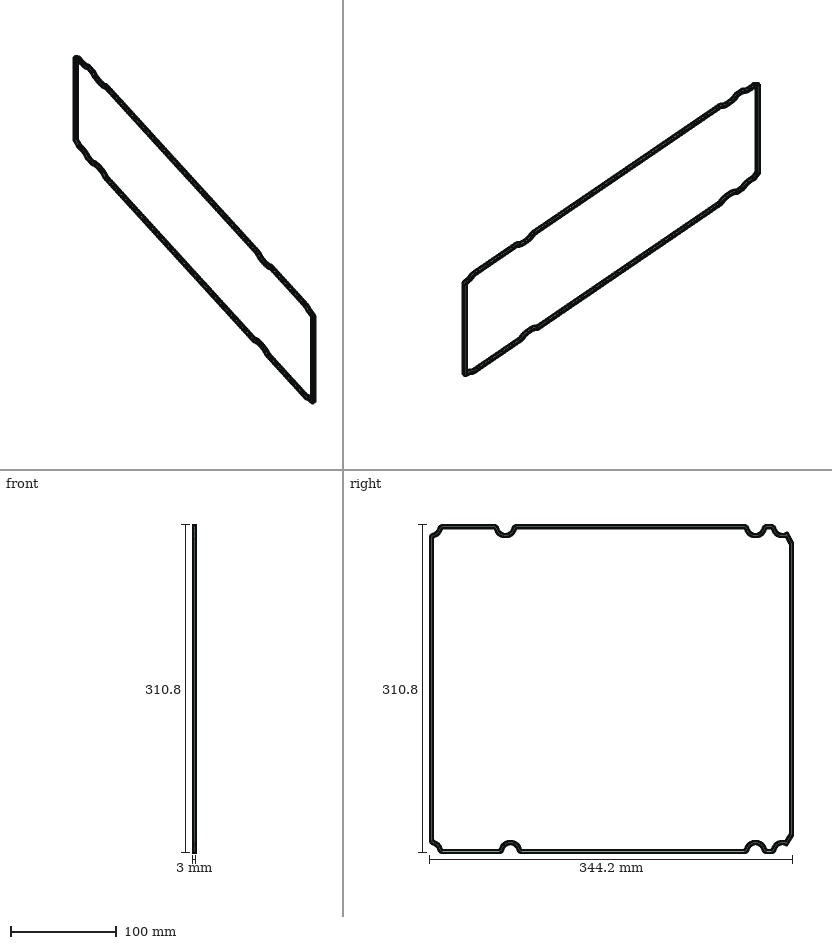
import cadquery as cq
import math

THICKNESS = 3.0
WIDTH = 344.16
HEIGHT = 310.82
HALF_WIDTH = WIDTH / 2
HALF_HEIGHT = HEIGHT / 2
TOP = 1
BOTTOM = -1

STRIP_WIDTH = 3.0

DETOUR_RADIUS = 7.0
DETOUR_DEPTH = 8.5
DETOUR_Z = HALF_HEIGHT - DETOUR_DEPTH + DETOUR_RADIUS

BEND_RADIUS = 4.5

LEFT_CORNER_Y = 162.15
LEFT_Y = 136.55
TOP_RIGHT_Y = -100.5
BOTTOM_RIGHT_Y = -95.75
RIGHT_CORNER_Y = -170.7

SLANT_DROP = 17.2
TOP_SLANT_ANGLE = 28.0
BOTTOM_SLANT_ANGLE = 31.0

TOLERANCE = 0.01


def extrude_sketch(sketch):
    """Prism through the full thickness of the frame."""
    return sketch.extrude(THICKNESS / 2, both=True)


def detour_cutter(y, z_side):
    """Disc that bites a detour into the top or bottom edge."""
    return extrude_sketch(cq.Workplane("YZ").center(y, z_side * DETOUR_Z).circle(DETOUR_RADIUS))


def left_corner_cutter(z_side, slant_angle):
    """Triangular prism that takes off a left corner along its slant."""
    edge_z = z_side * HALF_HEIGHT
    inset = SLANT_DROP * math.tan(math.radians(slant_angle))
    corners = [
        (HALF_WIDTH, edge_z),
        (HALF_WIDTH, edge_z - z_side * SLANT_DROP),
        (HALF_WIDTH - inset, edge_z),
    ]
    return extrude_sketch(cq.Workplane("YZ").polyline(corners).close())


def is_bend(edge):
    """True for a corner on the top, bottom or right side; the left corners stay sharp."""
    center = edge.Center()
    on_top_or_bottom = abs(center.z) > HALF_HEIGHT - TOLERANCE
    on_right_side = center.y < -HALF_WIDTH + TOLERANCE
    return on_top_or_bottom or on_right_side


def make_plate():
    """Solid plate with the outer outline of the frame."""
    plate = extrude_sketch(cq.Workplane("YZ").rect(WIDTH, HEIGHT))
    for z_side, slant_angle, right_y in (
        (TOP, TOP_SLANT_ANGLE, TOP_RIGHT_Y),
        (BOTTOM, BOTTOM_SLANT_ANGLE, BOTTOM_RIGHT_Y),
    ):
        plate = plate.cut(left_corner_cutter(z_side, slant_angle))
        for y in (LEFT_CORNER_Y, LEFT_Y, right_y, RIGHT_CORNER_Y):
            plate = plate.cut(detour_cutter(y, z_side))
    return plate.edges("|X").filter(is_bend).fillet(BEND_RADIUS)


def make_opening(plate):
    """Prism bounded by the plate outline moved inward by the strip width."""
    outer_edge = plate.faces("<X").wires().val()
    inner_edge = outer_edge.offset2D(-STRIP_WIDTH, "intersection")[0]
    return cq.Workplane(cq.Solid.extrudeLinear(inner_edge, [], cq.Vector(THICKNESS, 0, 0)))


plate = make_plate()
result = plate.cut(make_opening(plate))